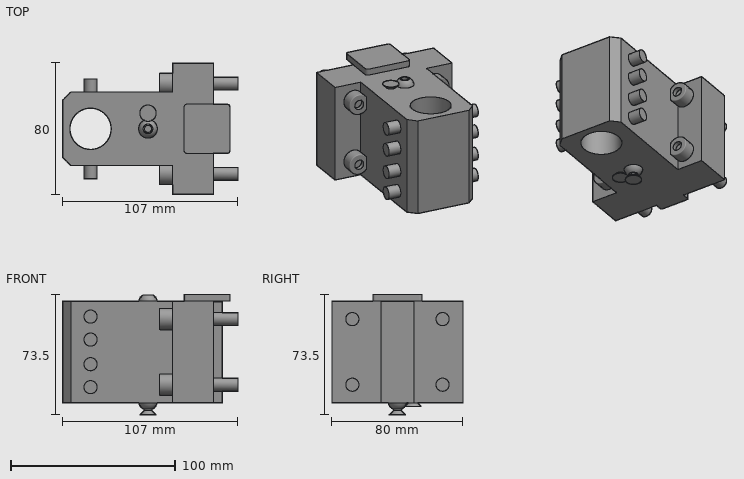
import cadquery as cq
import math

block_height = 62.0
body_width = 45.0
nose_chamfer = 5.0
flange_start = 67.0
flange_thickness = 25.0
flange_width = 80.0
flange_end = flange_start + flange_thickness

bore_diameter = 25.0
bore_x = 17.0

pin_diameter = 8.0
pin_length = 8.0
pin_pair_pitch = 14.0
pin_pair_spacing = 29.0

screw_diameter = 8.0
screw_head_diameter = 13.0
screw_head_height = 8.0
screw_head_fillet = 0.5
screw_socket_diameter = 6.0
screw_socket_depth = 3.0
screw_protrusion = 15.0
screw_pitch_y = 55.0
screw_pitch_z = 40.0

cover_length = 28.0
cover_width = 30.0
cover_thickness = 4.0
cover_start = 74.0
cover_corner_radius = 1.7

key_depth = 5.3
key_width = 20.0
key_height = block_height - 0.4
key_edge_radius = 1.0

nozzle_x = 52.0
nozzle_base_radius = 5.7
nozzle_tip_radius = 2.95
nozzle_height = 3.8
nozzle_bore_diameter = 4.3
nozzle_bore_depth = 3.0
plug_head_radius = 5.0
plug_neck_radius = 2.5
plug_rim = 0.25
plug_head_height = plug_head_radius - plug_neck_radius + plug_rim
plug_y = 9.5
plug_protrusion = 2.4
nozzle_plug_neck = 1.0
nozzle_plug_protrusion = nozzle_height + nozzle_plug_neck + plug_head_height

overlap = 1.0


def make_block():
    body_length = flange_start + overlap
    body = (
        cq.Workplane("XY")
        .box(body_length, body_width, block_height, centered=(False, True, False))
        .edges("|Z and <X")
        .chamfer(nose_chamfer)
    )
    flange = (
        cq.Workplane("XY")
        .box(flange_thickness, flange_width, block_height, centered=(False, True, False))
        .translate((flange_start, 0, 0))
    )
    bore = (
        cq.Workplane("XY")
        .center(bore_x, 0)
        .circle(bore_diameter / 2)
        .extrude(block_height)
    )
    return body.union(flange).cut(bore)


def make_cap_screw():
    """Cap screw along +X, with its head bearing surface at X = 0."""
    head = (
        cq.Workplane("YZ")
        .circle(screw_head_diameter / 2)
        .extrude(-screw_head_height)
        .faces("<X")
        .edges()
        .fillet(screw_head_fillet)
    )
    shank = (
        cq.Workplane("YZ")
        .circle(screw_diameter / 2)
        .extrude(flange_thickness + screw_protrusion)
    )
    socket = (
        cq.Workplane("YZ")
        .circle(screw_socket_diameter / 2)
        .extrude(screw_socket_depth)
        .translate((-screw_head_height, 0, 0))
    )
    return head.union(shank).cut(socket)


def make_cover():
    return (
        cq.Workplane("XY")
        .box(cover_length, cover_width, cover_thickness, centered=(False, True, False))
        .edges("|Z")
        .fillet(cover_corner_radius)
        .translate((cover_start, 0, block_height))
    )


def make_key():
    return (
        cq.Workplane("XY")
        .box(key_depth, key_width, key_height, centered=(False, True, False))
        .edges("|Z and >X")
        .fillet(key_edge_radius)
        .translate((flange_end, 0, 0))
    )


def make_nozzle():
    """Spherical zone along +Z, standing on the plane Z = 0."""
    radius_difference = nozzle_base_radius**2 - nozzle_tip_radius**2
    sphere_center_z = (nozzle_height**2 - radius_difference) / (2 * nozzle_height)
    sphere_radius = math.hypot(nozzle_base_radius, sphere_center_z)
    mid_z = nozzle_height / 2
    mid_radius = math.sqrt(sphere_radius**2 - (mid_z - sphere_center_z) ** 2)
    return (
        cq.Workplane("XZ")
        .moveTo(0, -overlap)
        .lineTo(nozzle_base_radius, -overlap)
        .lineTo(nozzle_base_radius, 0)
        .threePointArc((mid_radius, mid_z), (nozzle_tip_radius, nozzle_height))
        .lineTo(0, nozzle_height)
        .close()
        .revolve(360, (0, 0, 0), (0, 1, 0))
    )


def make_plug(protrusion):
    """Countersunk plug along +Z, its flat head face at Z = protrusion, its neck sunk below Z = 0."""
    cone_start = protrusion - plug_head_height
    return (
        cq.Workplane("XZ")
        .moveTo(0, -overlap)
        .lineTo(plug_neck_radius, -overlap)
        .lineTo(plug_neck_radius, cone_start)
        .lineTo(plug_head_radius, protrusion - plug_rim)
        .lineTo(plug_head_radius, protrusion)
        .lineTo(0, protrusion)
        .close()
        .revolve(360, (0, 0, 0), (0, 1, 0))
    )


def place_on_top(shape, y):
    return shape.translate((nozzle_x, y, block_height))


def place_on_bottom(shape, y):
    return shape.mirror("XY").translate((nozzle_x, y, 0))


def add_pins(part):
    side_face_y = body_width / 2
    for pair_side in (-1, 1):
        for pin_side in (-1, 1):
            pair_offset = pair_side * pin_pair_spacing / 2
            pin_z = block_height / 2 + pair_offset + pin_side * pin_pair_pitch / 2
            pin = (
                cq.Workplane("XZ")
                .circle(pin_diameter / 2)
                .extrude(pin_length + overlap)
                .translate((bore_x, overlap - side_face_y, pin_z))
            )
            part = part.union(pin).union(pin.mirror("XZ"))
    return part


def add_cap_screws(part):
    screw = make_cap_screw()
    for side_y in (-1, 1):
        for side_z in (-1, 1):
            screw_y = side_y * screw_pitch_y / 2
            screw_z = block_height / 2 + side_z * screw_pitch_z / 2
            part = part.union(screw.translate((flange_start, screw_y, screw_z)))
    return part


def add_fittings(part):
    """Nozzle and plug on each face; the top nozzle is open, the bottom one carries a second plug."""
    nozzle = make_nozzle()
    nozzle_bore = (
        cq.Workplane("XY")
        .circle(nozzle_bore_diameter / 2)
        .extrude(-nozzle_bore_depth)
        .translate((0, 0, nozzle_height))
    )
    plug = make_plug(plug_protrusion)
    part = part.union(place_on_top(nozzle.cut(nozzle_bore), 0))
    part = part.union(place_on_top(plug, plug_y))
    part = part.union(place_on_bottom(nozzle.union(make_plug(nozzle_plug_protrusion)), 0))
    return part.union(place_on_bottom(plug, plug_y))


result = make_block()
result = add_pins(result)
result = add_cap_screws(result)
result = result.union(make_cover())
result = result.union(make_key())
result = add_fittings(result)